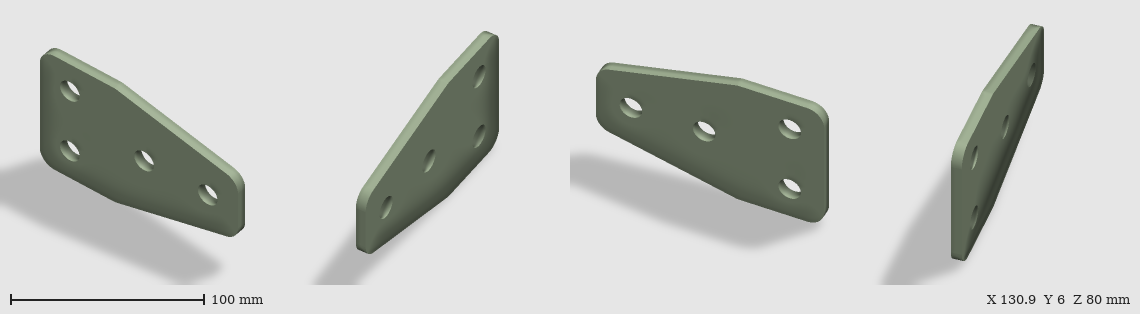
import cadquery as cq

length = 130.9
wide_height = 80.0
thickness = 6.0

straight_length = 49.7
narrow_height = 40.3
corner_radius = 10.0
bend_radius = 6.5

hole_diameter = 13.0
hole_spacing = 42.0
end_hole_inset = 20.0
pair_inset = 19.8

left = -length / 2
right = length / 2
bend_x = left + straight_length
half_wide = wide_height / 2
half_narrow = narrow_height / 2


def edges_at(x):
    """Selector for the thickness-direction edges at a given X position."""
    margin = 0.7
    return cq.selectors.BoxSelector(
        (x - margin, -thickness, -wide_height),
        (x + margin, thickness, wide_height),
    )


outline = [
    (left, -half_wide),
    (bend_x, -half_wide),
    (right, -half_narrow),
    (right, half_narrow),
    (bend_x, half_wide),
    (left, half_wide),
]
plate = cq.Workplane("XZ").polyline(outline).close().extrude(thickness / 2, both=True)

for x, radius in [(left, corner_radius), (right, corner_radius), (bend_x, bend_radius)]:
    plate = plate.edges("|Y").edges(edges_at(x)).fillet(radius)

end_hole_x = right - end_hole_inset
pair_x = left + pair_inset
hole_centres = [
    (pair_x, hole_spacing / 2),
    (pair_x, -hole_spacing / 2),
    (end_hole_x - hole_spacing, 0),
    (end_hole_x, 0),
]
holes = (
    cq.Workplane("XZ")
    .pushPoints(hole_centres)
    .circle(hole_diameter / 2)
    .extrude(thickness, both=True)
)

result = plate.cut(holes)